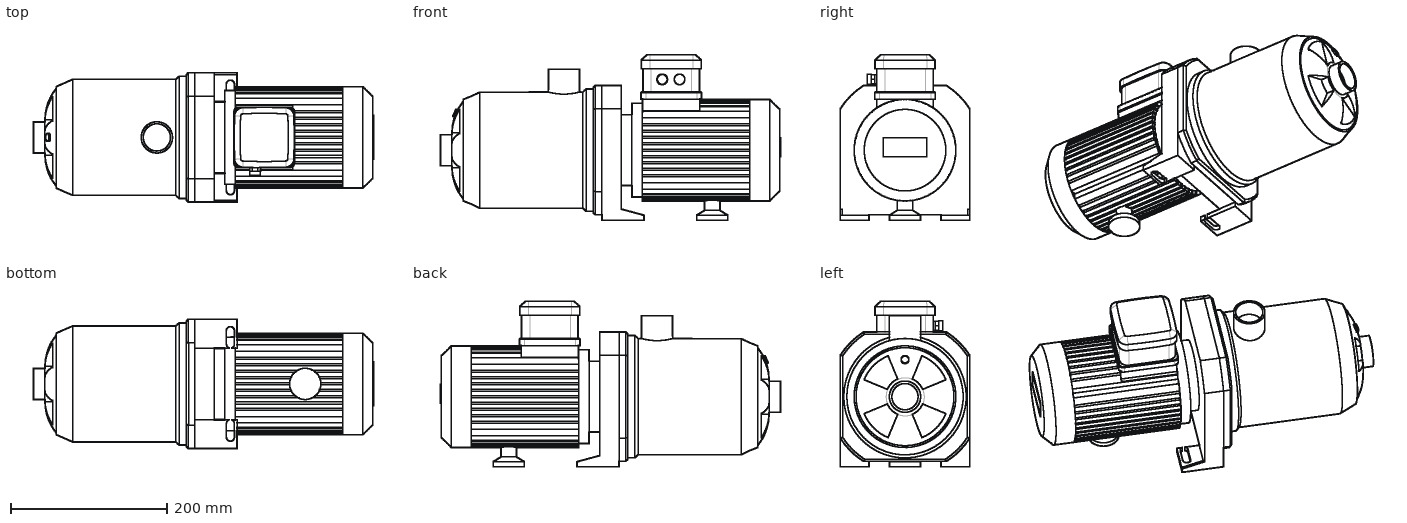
import cadquery as cq
import math


total_length = 435.5
plate_width = 166.0
ground_z = -89.5

port_dia = 40.0
outlet_bore_dia = 35.0
inlet_bore_dia = 33.5
hub_dia = 48.8
dome_front_x = 15.0
dome_mid_x = 19.5
dome_mid_radius = 46.5
dome_rim_x = 29.0
dome_rim_radius = 62.5
cone_small_dia = 130.0
casing_dia = 149.0
cone_end_x = 50.5
collar_dia = 156.5
collar_taper_start_x = 182.5
collar_taper_end_x = 186.5
outlet_x = 158.0
outlet_top_z = 103.5
outlet_bore_depth = 22.5
pocket_floor_x = 25.0
pocket_angle = 45.0
pocket_count = 4

vent_dia = 10.0
vent_head_x = 18.0
vent_head_z = 48.0
vent_length = 7.0
vent_tilt = 25.0

flange_front_x = 195.5
bracket_front_x = 206.8
bracket_back_x = 231.5
corner_dia = 196.8
flange_bevel_depth = 3.0
flange_bevel_width = 2.5
foot_width = 37.0
foot_tip_x = 260.7
foot_tip_height = 6.5
foot_root_height = 14.5
foot_wall = 2.5
foot_slot_width = 10.0
foot_slot_x = 252.0
foot_slot_inner_y = 55.7
foot_slot_outer_y = 73.0

neck_dia = 91.0
motor_flange_dia = 120.0
motor_dia = 130.0
motor_flange_x = 245.0
fins_start_x = 258.5
fins_end_x = 395.5
core_radius = 56.5
slot_pitch = 8.15
slot_width = 2.5
slots_each_side = 4
corner_notch = 42.0
pad_start_x = 259.0
pad_length = 72.5
pad_bottom_z = 50.5
pad_top_z = 65.5

cover_cone_x = 421.5
cover_end_x = 434.5
cover_end_radius = 52.2
label_width = 56.0
label_height = 24.5
label_z = 3.5

box_base_size = 77.5
box_base_radius = 6.0
box_base_height = 9.0
box_base_chamfer = 1.0
box_wall_radius = 10.5
box_top_z = 104.0
lid_size = 75.0
lid_bulge = 1.5
lid_radius = 11.0
lid_height = 18.5
lid_chamfer_height = 7.0
lid_chamfer_width = 8.0
entry_dia = 13.5
entry_z = 90.5
gland_x = 284.0
blank_entry_x = 306.0
blank_entry_depth = 1.5
gland_neck_dia = 12.0
gland_neck_length = 2.5
gland_hex_flats = 12.0
gland_hex_length = 4.5
gland_head_length = 5.2
gland_socket_depth = 4.5

stem_x = 348.0
stem_dia = 20.0
stem_cone_top_z = -77.0
foot_disc_dia = 40.0
foot_disc_top_z = -83.0

half_width = plate_width / 2
box_x = pad_start_x + pad_length / 2
box_wall_size = pad_length
box_wall_face_y = -box_wall_size / 2
motor_radius = motor_dia / 2


def rod_x(diameter, start_x, end_x):
    """Cylinder on the shaft axis."""
    return cq.Workplane("YZ", origin=(start_x, 0, 0)).circle(diameter / 2).extrude(end_x - start_x)


def rod_z(diameter, x, bottom_z, top_z):
    """Vertical cylinder centred on Y = 0."""
    return cq.Workplane("XY", origin=(x, 0, bottom_z)).circle(diameter / 2).extrude(top_z - bottom_z)


def block(x_range, y_range, z_range):
    """Box between the given limits on each axis."""
    size = [high - low for low, high in (x_range, y_range, z_range)]
    return cq.Workplane("XY").box(*size, centered=False).translate((x_range[0], y_range[0], z_range[0]))


def make_dome_pocket(angle):
    """Wedge in front of the pocket floor, outside the hub, centred on the given angle."""
    half_angle = math.radians(pocket_angle / 2)
    reach = cone_small_dia
    across = reach * math.tan(half_angle)
    wedge = (
        cq.Workplane("YZ")
        .polyline([(0, 0), (reach, -across), (reach, across)])
        .close()
        .extrude(pocket_floor_x)
        .cut(rod_x(hub_dia, 0, pocket_floor_x))
    )
    return wedge.rotate((0, 0, 0), (1, 0, 0), angle)


def make_casing(vent_plug):
    profile = (
        cq.Workplane("XY")
        .moveTo(dome_front_x, 0)
        .lineTo(dome_front_x, hub_dia / 2)
        .threePointArc((dome_mid_x, dome_mid_radius), (dome_rim_x, dome_rim_radius))
        .lineTo(dome_rim_x, cone_small_dia / 2)
        .lineTo(cone_end_x, casing_dia / 2)
        .lineTo(collar_taper_start_x, casing_dia / 2)
        .lineTo(collar_taper_end_x, collar_dia / 2)
        .lineTo(flange_front_x, collar_dia / 2)
        .lineTo(flange_front_x, 0)
        .close()
    )
    casing = profile.revolve(360, (0, 0, 0), (1, 0, 0))
    for index in range(pocket_count):
        casing = casing.cut(make_dome_pocket(45 + index * 360 / pocket_count))
    casing = casing.union(rod_x(port_dia, 0, dome_front_x))
    casing = casing.cut(rod_x(inlet_bore_dia, 0, dome_front_x))
    casing = casing.union(rod_z(port_dia, outlet_x, 0, outlet_top_z))
    outlet_floor_z = outlet_top_z - outlet_bore_depth
    casing = casing.cut(rod_z(outlet_bore_dia, outlet_x, outlet_floor_z, outlet_top_z))
    return casing.cut(vent_plug)


def make_vent_plug():
    """Round plug set into the dome, nearly square to its surface."""
    tilt = math.radians(vent_tilt)
    inward = cq.Plane(
        origin=(vent_head_x, 0, vent_head_z),
        xDir=(0, 1, 0),
        normal=(math.cos(tilt), 0, -math.sin(tilt)),
    )
    return cq.Workplane(inward).circle(vent_dia / 2).extrude(vent_length)


def make_flange_plate():
    """Square plate with round corners and a bevelled front edge."""
    plate = (
        cq.Workplane("YZ", origin=(flange_front_x, 0, 0))
        .rect(plate_width, plate_width)
        .extrude(bracket_front_x - flange_front_x)
        .intersect(rod_x(corner_dia, flange_front_x, bracket_front_x))
    )
    return plate.faces("<X").chamfer(flange_bevel_depth, flange_bevel_width)


def make_bracket_foot():
    """Foot on the +Y side: a slotted floor with a sloping wall along its outer edge."""
    inner_y = half_width - foot_width
    floor_z = ground_z + foot_tip_height
    y_range = (inner_y, half_width)
    floor = block((bracket_front_x, foot_tip_x), y_range, (ground_z, floor_z))
    leg = block((bracket_front_x, bracket_back_x), y_range, (ground_z, 0))
    wall = (
        cq.Workplane("XZ", origin=(0, half_width, 0))
        .polyline(
            [
                (bracket_back_x, floor_z),
                (bracket_back_x, ground_z + foot_root_height),
                (foot_tip_x, floor_z),
            ]
        )
        .close()
        .extrude(foot_wall)
    )
    slot_length = foot_slot_outer_y - foot_slot_inner_y + foot_slot_width
    slot_centre_y = (foot_slot_outer_y + foot_slot_inner_y) / 2 - foot_slot_width / 2
    slot = (
        cq.Workplane("XY", origin=(foot_slot_x, slot_centre_y, ground_z))
        .slot2D(slot_length, foot_slot_width, 90)
        .extrude(foot_tip_height)
    )
    return floor.union(leg).union(wall).cut(slot)


def make_bracket():
    """Plate with round upper corners, standing on a foot at each side."""
    plate = block(
        (bracket_front_x, bracket_back_x),
        (-half_width, half_width),
        (-half_width, half_width),
    )
    plate = plate.intersect(rod_x(corner_dia, bracket_front_x, bracket_back_x))
    foot = make_bracket_foot()
    return plate.union(foot).union(foot.mirror("XZ")).clean()


def make_finned_body():
    """Cylinder with straight slots on four sides and a square notch at each diagonal."""
    fins = rod_x(motor_dia, fins_start_x, fins_end_x)
    x_range = (fins_start_x, fins_end_x)
    cutter = block(x_range, (corner_notch, motor_radius), (corner_notch, motor_radius))
    for index in range(-slots_each_side, slots_each_side + 1):
        middle = index * slot_pitch
        z_range = (middle - slot_width / 2, middle + slot_width / 2)
        cutter = cutter.union(block(x_range, (0, motor_radius), z_range))
    cutter = cutter.cut(rod_x(2 * core_radius, *x_range))
    for quarter in range(4):
        fins = fins.cut(cutter.rotate((0, 0, 0), (1, 0, 0), 90 * quarter))
    return fins


def make_motor(support_foot):
    """Finned body with its neck, flange and box pad; the fins are cut down beside the pad."""
    pad_x_range = (pad_start_x, pad_start_x + pad_length)
    pad = block(pad_x_range, (box_wall_face_y, -box_wall_face_y), (0, pad_top_z))
    clearance = block(pad_x_range, (-motor_radius, motor_radius), (pad_bottom_z, motor_radius))
    motor = make_finned_body().cut(clearance)
    motor = motor.union(rod_x(neck_dia, bracket_back_x, fins_start_x))
    motor = motor.union(rod_x(motor_flange_dia, motor_flange_x, fins_start_x))
    return motor.union(pad).cut(support_foot)


def make_fan_cover():
    cover = (
        cq.Workplane("XY")
        .polyline(
            [
                (fins_end_x, 0),
                (fins_end_x, motor_radius),
                (cover_cone_x, motor_radius),
                (cover_end_x, cover_end_radius),
                (cover_end_x, 0),
            ]
        )
        .close()
        .revolve(360, (0, 0, 0), (1, 0, 0))
    )
    label = (
        cq.Workplane("YZ", origin=(cover_end_x, 0, label_z))
        .rect(label_width, label_height)
        .extrude(total_length - cover_end_x)
    )
    return cover.union(label)


def on_box_wall(x):
    """Plane on the -Y wall of the terminal box, facing out, at an entry."""
    return cq.Workplane("XZ", origin=(x, box_wall_face_y, entry_z))


def make_terminal_box():
    base_top_z = pad_top_z + box_base_height
    base = (
        cq.Workplane("XY", origin=(box_x, 0, pad_top_z))
        .rect(box_base_size, box_base_size)
        .extrude(box_base_height)
        .edges("|Z")
        .fillet(box_base_radius)
        .faces(">Z")
        .chamfer(box_base_chamfer)
    )
    walls = (
        cq.Workplane("XY", origin=(box_x, 0, base_top_z))
        .rect(box_wall_size, box_wall_size)
        .extrude(box_top_z - base_top_z)
        .edges("|Z")
        .fillet(box_wall_radius)
    )
    blank_entry = on_box_wall(blank_entry_x).circle(entry_dia / 2).extrude(-blank_entry_depth)
    gland_socket = on_box_wall(gland_x).circle(gland_neck_dia / 2).extrude(-gland_socket_depth)
    return base.union(walls).cut(blank_entry).cut(gland_socket)


def make_lid():
    """Lid with slightly bulging sides and a sloping rim."""
    corner = lid_size / 2
    side = corner + lid_bulge
    return (
        cq.Workplane("XY", origin=(box_x, 0, box_top_z))
        .moveTo(corner, -corner)
        .threePointArc((side, 0), (corner, corner))
        .threePointArc((0, side), (-corner, corner))
        .threePointArc((-side, 0), (-corner, -corner))
        .threePointArc((0, -side), (corner, -corner))
        .close()
        .extrude(lid_height)
        .edges("|Z")
        .fillet(lid_radius)
        .faces(">Z")
        .chamfer(lid_chamfer_height, lid_chamfer_width)
    )


def make_cable_gland():
    neck = (
        on_box_wall(gland_x)
        .workplane(offset=-gland_socket_depth)
        .circle(gland_neck_dia / 2)
        .extrude(gland_socket_depth + gland_neck_length)
    )
    hexagon = (
        on_box_wall(gland_x)
        .workplane(offset=gland_neck_length)
        .transformed(rotate=(0, 0, 90))
        .polygon(6, gland_hex_flats, circumscribed=True)
        .extrude(gland_hex_length)
    )
    head = (
        on_box_wall(gland_x)
        .workplane(offset=gland_neck_length + gland_hex_length)
        .circle(entry_dia / 2)
        .extrude(gland_head_length)
    )
    return neck.union(hexagon).union(head)


def make_support_foot():
    """Disc, cone and stem; the stem ends in a recess just inside the finned body."""
    stem_radius = stem_dia / 2
    disc_radius = foot_disc_dia / 2
    stem_top_z = -math.sqrt(core_radius**2 - stem_radius**2)
    return (
        cq.Workplane("XZ", origin=(stem_x, 0, 0))
        .polyline(
            [
                (0, ground_z),
                (disc_radius, ground_z),
                (disc_radius, foot_disc_top_z),
                (stem_radius, stem_cone_top_z),
                (stem_radius, stem_top_z),
                (0, stem_top_z),
            ]
        )
        .close()
        .revolve(360, (0, 0, 0), (0, 1, 0))
    )


vent_plug = make_vent_plug()
casing = make_casing(vent_plug)
flange_plate = make_flange_plate()
bracket = make_bracket()
support_foot = make_support_foot()
motor = make_motor(support_foot)
fan_cover = make_fan_cover()
terminal_box = make_terminal_box()
lid = make_lid()
cable_gland = make_cable_gland()

result = cq.Compound.makeCompound(
    [
        casing.val(),
        vent_plug.val(),
        flange_plate.val(),
        bracket.val(),
        motor.val(),
        fan_cover.val(),
        terminal_box.val(),
        lid.val(),
        cable_gland.val(),
        support_foot.val(),
    ]
)